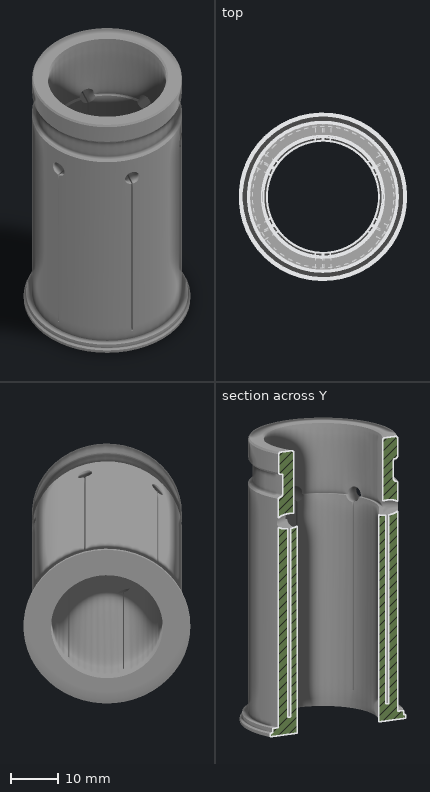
import cadquery as cq

height = 62.5
body_diameter = 32.0
head_diameter = 31.9
neck_diameter = 30.1
flange_diameter = 34.5
lip_diameter = 35.5

lip_top = 0.95
flange_top = 1.9
shoulder_level = 52.6
head_bottom = 57.5

shoulder_chamfer = 0.4
head_chamfer_width = 0.25
head_chamfer_height = 0.45
neck_foot_fillet = 0.5
neck_top_fillet = 0.2
lip_chamfer = 0.25
bore_chamfer = 0.4

upper_bore_diameter = 25.3
lower_bore_diameter = 23.8

slot_count = 6
first_slot_angle = -90.0
hole_diameter = 3.25
hole_level = 47.0
slot_width = 0.3
slot_bottom = 3.9

bore_step_drop = 0.25
bore_step_level = hole_level - bore_step_drop


def make_outside():
    """Revolve the outer profile, with filleted neck ends and chamfered head edges."""
    body_radius = body_diameter / 2
    head_radius = head_diameter / 2
    neck_radius = neck_diameter / 2
    flange_radius = flange_diameter / 2
    lip_radius = lip_diameter / 2
    profile = (
        cq.Workplane("XZ")
        .lineTo(lip_radius, 0)
        .lineTo(lip_radius, lip_top - lip_chamfer)
        .lineTo(lip_radius - lip_chamfer, lip_top)
        .lineTo(flange_radius, lip_top)
        .lineTo(flange_radius, flange_top)
        .lineTo(body_radius, flange_top)
        .lineTo(body_radius, shoulder_level - shoulder_chamfer)
        .lineTo(body_radius - shoulder_chamfer, shoulder_level)
        .lineTo(neck_radius + neck_foot_fillet, shoulder_level)
        .radiusArc((neck_radius, shoulder_level + neck_foot_fillet), neck_foot_fillet)
        .lineTo(neck_radius, head_bottom - neck_top_fillet)
        .radiusArc((neck_radius + neck_top_fillet, head_bottom), neck_top_fillet)
        .lineTo(head_radius - head_chamfer_width, head_bottom)
        .lineTo(head_radius, head_bottom + head_chamfer_height)
        .lineTo(head_radius, height - head_chamfer_height)
        .lineTo(head_radius - head_chamfer_width, height)
        .lineTo(0, height)
        .close()
    )
    return profile.revolve(360, (0, 0, 0), (0, 1, 0))


def make_bore():
    """Stepped through bore with a chamfered mouth at the top."""
    lower_radius = lower_bore_diameter / 2
    upper_radius = upper_bore_diameter / 2
    profile = (
        cq.Workplane("XZ")
        .lineTo(lower_radius, 0)
        .lineTo(lower_radius, bore_step_level)
        .lineTo(upper_radius, bore_step_level)
        .lineTo(upper_radius, height - bore_chamfer)
        .lineTo(upper_radius + bore_chamfer, height)
        .lineTo(0, height)
        .close()
    )
    return profile.revolve(360, (0, 0, 0), (0, 1, 0))


def make_relief_cut(angle):
    """Radial hole and the slot below it, through one side of the wall."""
    reach = lip_diameter / 2
    hole = (
        cq.Workplane("YZ")
        .center(0, hole_level)
        .circle(hole_diameter / 2)
        .extrude(reach)
    )
    slot = (
        cq.Workplane("XY")
        .workplane(offset=slot_bottom)
        .rect(reach, slot_width)
        .extrude(hole_level - slot_bottom)
        .translate((reach / 2, 0, 0))
    )
    return hole.union(slot).rotate((0, 0, 0), (0, 0, 1), angle)


result = make_outside().cut(make_bore())
for index in range(slot_count):
    result = result.cut(make_relief_cut(first_slot_angle + index * 360 / slot_count))